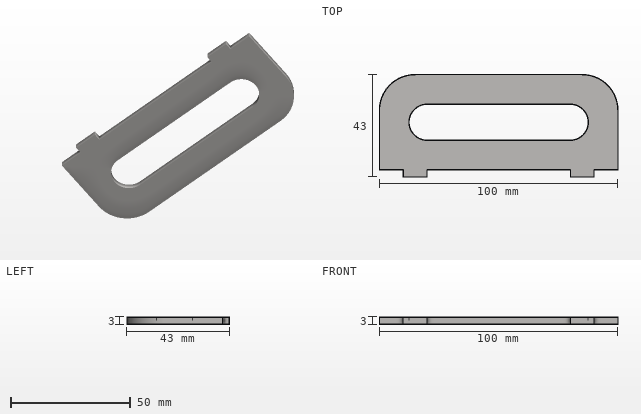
import cadquery as cq

plate_length = 100.0
plate_width = 40.0
thickness = 3.0
corner_radius = 15.0

slot_length = 75.0
slot_width = 15.0

tab_length = 10.0
tab_depth = thickness
tab_end_gap = 10.0
tab_center_x = plate_length / 2 - tab_end_gap - tab_length / 2


def make_plate():
    """Flat plate with the two +Y corners rounded."""
    plate = cq.Workplane("XY").box(plate_length, plate_width, thickness, centered=(True, True, False))
    return plate.edges("|Z and >Y").fillet(corner_radius)


def make_tab(center_x):
    """Rectangular tab standing out from the -Y edge of the plate."""
    return (
        cq.Workplane("XY")
        .box(tab_length, tab_depth, thickness, centered=(True, False, False))
        .translate((center_x, -plate_width / 2 - tab_depth, 0))
    )


def make_slot_cutter():
    """Solid that cuts the finger slot through the full thickness."""
    return cq.Workplane("XY").slot2D(slot_length, slot_width).extrude(thickness)


result = make_plate().cut(make_slot_cutter())
for side in (-1, 1):
    result = result.union(make_tab(side * tab_center_x))